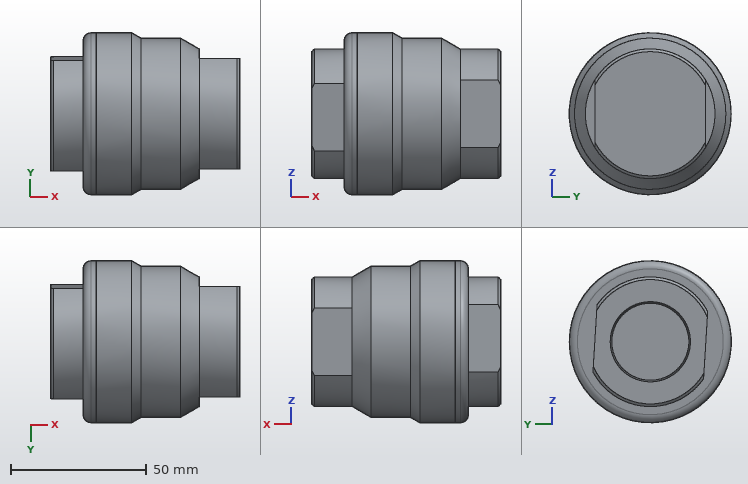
import cadquery as cq
import math

total_length = 70.0
left_end = -total_length / 2
right_end = total_length / 2
left_hub_length = 12.0
right_hub_length = 15.0
collar_start = left_end + left_hub_length
collar_length = 18.0
collar_end = collar_start + collar_length
right_hub_start = right_end - right_hub_length

collar_diameter = 60.0
body_diameter = 56.0
hub_diameter = 48.0
bore_mouth_diameter = 29.7
bore_floor_diameter = 28.5

collar_round = 3.0
hub_chamfer = 1.0
cone_half_angle = 30.0
groove_offset = 4.8
groove_start = collar_start + groove_offset
groove_width = 0.25
groove_depth = 0.1

flat_width = 41.0
left_flat_turn = 3.5
right_flat_turn = 0.0

bore_depth = 15.0
bore_straight_length = 0.5


def cylinder_along_x(diameter, start, length):
    return cq.Workplane("YZ", origin=(start, 0, 0)).circle(diameter / 2).extrude(length)


def make_body():
    """Revolved collar, barrel and the cone that leads to the right hub."""
    collar_radius = collar_diameter / 2
    body_radius = body_diameter / 2
    hub_radius = hub_diameter / 2
    slope = math.tan(math.radians(cone_half_angle))
    body_start = collar_end + (collar_radius - body_radius) / slope
    body_end = right_hub_start - (body_radius - hub_radius) / slope
    round_mid = collar_round * (1 - math.sqrt(0.5))
    return (
        cq.Workplane("XY")
        .moveTo(collar_start, 0)
        .lineTo(collar_start, collar_radius - collar_round)
        .threePointArc(
            (collar_start + round_mid, collar_radius - round_mid),
            (collar_start + collar_round, collar_radius),
        )
        .lineTo(collar_end, collar_radius)
        .lineTo(body_start, body_radius)
        .lineTo(body_end, body_radius)
        .lineTo(right_hub_start, hub_radius)
        .lineTo(right_hub_start, 0)
        .close()
        .revolve(360, (0, 0, 0), (1, 0, 0))
    )


def make_hub(start, length, outer_face, flat_turn):
    """Round hub with a chamfered outer end and two opposite wrench flats."""
    hub = cylinder_along_x(hub_diameter, start, length).faces(outer_face).chamfer(hub_chamfer)
    flats = (
        cq.Workplane("YZ", origin=(start, 0, 0))
        .rect(flat_width, hub_diameter)
        .extrude(length)
        .rotate((0, 0, 0), (1, 0, 0), flat_turn)
    )
    return hub.intersect(flats)


def make_groove():
    """Thin ring that marks the joint around the collar."""
    ring = cylinder_along_x(collar_diameter, groove_start, groove_width)
    core = cylinder_along_x(collar_diameter - 2 * groove_depth, groove_start, groove_width)
    return ring.cut(core)


def make_bore():
    """Blind bore that tapers inward and ends in a short straight stretch."""
    floor = left_end + bore_depth
    taper_end = floor - bore_straight_length
    return (
        cq.Workplane("XY")
        .moveTo(left_end, 0)
        .lineTo(left_end, bore_mouth_diameter / 2)
        .lineTo(taper_end, bore_floor_diameter / 2)
        .lineTo(floor, bore_floor_diameter / 2)
        .lineTo(floor, 0)
        .close()
        .revolve(360, (0, 0, 0), (1, 0, 0))
    )


result = (
    make_body()
    .union(make_hub(left_end, left_hub_length, "<X", left_flat_turn))
    .union(make_hub(right_hub_start, right_hub_length, ">X", right_flat_turn))
    .cut(make_groove())
    .cut(make_bore())
)